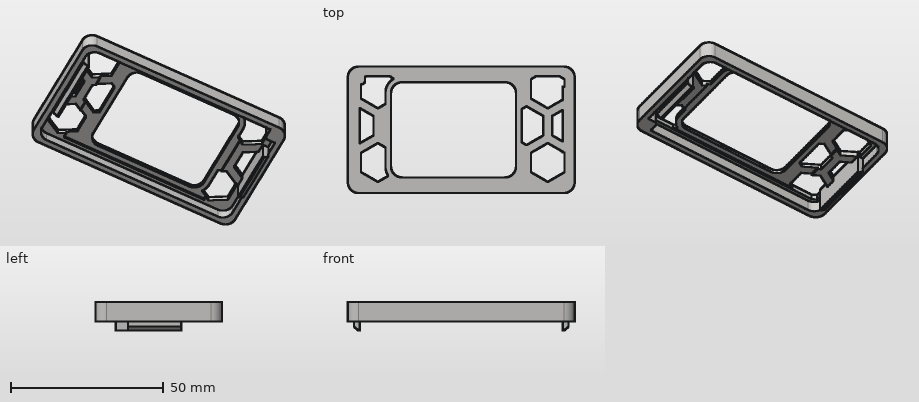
import cadquery as cq
import math

LENGTH = 74.7
WIDTH = 41.7
BODY_HEIGHT = 6.5
CORNER_RADIUS = 3.6
WALL = 2.0
PLATE_THICKNESS = 2.2

WINDOW_LENGTH = 41.0
WINDOW_WIDTH = 31.2
WINDOW_X = -2.55
WINDOW_RADIUS = 3.5
RIM = 1.95

SEAT_LENGTH = 52.0
SEAT_WIDTH = 35.1
SEAT_LIP = 1.5

HEX_FLATS = 11.0
HEX_GAP = 3.0
HEX_X = 28.45
HEX_Y = 1.35
COLUMNS_BETWEEN_ENDS = 4
HEX_TURN = 30

HOOK_THICKNESS = 2.0
HOOK_DROP = 3.0
HOOK_STRAIGHT = 1.65
HOOK_TIP = 0.5
HOOK_START_Y = -7.5
LEFT_HOOK_END_Y = 10.15
RIGHT_HOOK_END_Y = 14.2

POST_DIAMETER = 2.4
POST_X = -32.8
POST_Y = 16.1

CAVITY_HEIGHT = BODY_HEIGHT - PLATE_THICKNESS
CAVITY_HALF_LENGTH = LENGTH / 2 - WALL
CAVITY_HALF_WIDTH = WIDTH / 2 - WALL
HOOK_INNER_X = CAVITY_HALF_LENGTH - HOOK_THICKNESS
COLUMN_PITCH = HEX_FLATS + HEX_GAP
ROW_PITCH = COLUMN_PITCH * math.sqrt(3) / 2
HEX_CIRCLE = HEX_FLATS * 2 / math.sqrt(3)


def rounded_block(length, width, height, radius):
    """Block on the XY plane with rounded vertical edges."""
    return cq.Workplane("XY").rect(length, width).extrude(height).edges("|Z").fillet(radius)


def box_between(x_min, x_max, y_min, y_max, height):
    """Block on the XY plane between the given limits."""
    return (
        cq.Workplane("XY")
        .box(x_max - x_min, y_max - y_min, height, centered=False)
        .translate((x_min, y_min, 0))
    )


def make_shell():
    """Tray with a cavity below the top plate."""
    outer = rounded_block(LENGTH, WIDTH, BODY_HEIGHT, CORNER_RADIUS)
    cavity = rounded_block(2 * CAVITY_HALF_LENGTH, 2 * CAVITY_HALF_WIDTH, CAVITY_HEIGHT, CORNER_RADIUS)
    return outer.cut(cavity)


def make_seat():
    """Seat cutter, leaving only a thin lip of plate above it."""
    return cq.Workplane("XY").rect(SEAT_LENGTH, SEAT_WIDTH).extrude(BODY_HEIGHT - SEAT_LIP)


def make_window(margin):
    """Window cutter, grown outwards by the margin on every side."""
    window = rounded_block(
        WINDOW_LENGTH + 2 * margin, WINDOW_WIDTH + 2 * margin, BODY_HEIGHT, WINDOW_RADIUS + margin
    )
    return window.translate((WINDOW_X, 0, 0))


def make_post():
    """Round post, joined to the corner of the cavity by webs to both walls."""
    radius = POST_DIAMETER / 2
    post = cq.Workplane("XY").center(POST_X, POST_Y).circle(radius).extrude(BODY_HEIGHT)
    end_web = box_between(-CAVITY_HALF_LENGTH, POST_X, POST_Y - radius, CAVITY_HALF_WIDTH, BODY_HEIGHT)
    side_web = box_between(-CAVITY_HALF_LENGTH, POST_X + radius, POST_Y, CAVITY_HALF_WIDTH, BODY_HEIGHT)
    return post.union(end_web).union(side_web)


def make_grille():
    """Hexagon cutters at both ends, trimmed by the window rim and the seat width."""
    mid_x = HEX_X - COLUMN_PITCH / 2
    left_shift = COLUMNS_BETWEEN_ENDS * COLUMN_PITCH
    centers = [
        (mid_x, HEX_Y),
        (mid_x + COLUMN_PITCH, HEX_Y),
        (mid_x - left_shift, HEX_Y),
    ]
    for x in (HEX_X, HEX_X - left_shift):
        for row in (-1, 1):
            centers.append((x, HEX_Y + row * ROW_PITCH))

    hexagon = cq.Workplane("XY").polygon(6, HEX_CIRCLE).extrude(BODY_HEIGHT)
    hexagon = hexagon.rotate((0, 0, 0), (0, 0, 1), HEX_TURN)
    cells = cq.Workplane("XY")
    for x, y in centers:
        cells = cells.union(hexagon.translate((x, y, 0)))

    limits = box_between(-HOOK_INNER_X, CAVITY_HALF_LENGTH, -SEAT_WIDTH / 2, SEAT_WIDTH / 2, BODY_HEIGHT)
    return cells.intersect(limits).cut(make_window(RIM))


def make_hook(end_y):
    """Hook on the +X end wall: flat inner face, bevelled outer face at the tip."""
    profile = [
        (HOOK_INNER_X, BODY_HEIGHT),
        (HOOK_INNER_X, -HOOK_DROP),
        (HOOK_INNER_X + HOOK_TIP, -HOOK_DROP),
        (CAVITY_HALF_LENGTH, -HOOK_STRAIGHT),
        (CAVITY_HALF_LENGTH, BODY_HEIGHT),
    ]
    hook = cq.Workplane("XZ").polyline(profile).close().extrude(HOOK_START_Y - end_y)
    return hook.translate((0, HOOK_START_Y, 0))


right_hook = make_hook(RIGHT_HOOK_END_Y)
left_hook = make_hook(LEFT_HOOK_END_Y).mirror("YZ")

result = make_shell().cut(make_seat()).cut(make_window(0)).cut(make_grille())
result = result.union(right_hook).union(left_hook).union(make_post())